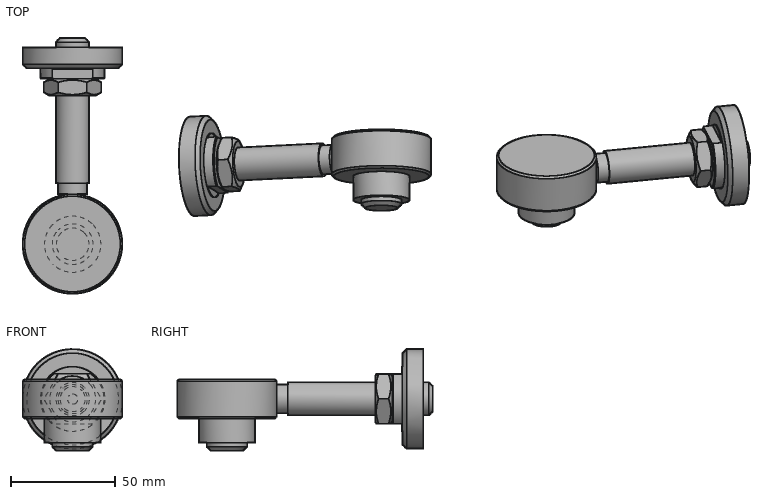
import cadquery as cq
import math

disc_diameter = 48.0
total_length = 123.0

head_height = 19.0
head_chamfer = 1.0
hub_diameter = 27.0
hub_bottom = -21.0
hub_tip_diameter = 19.5
hub_tip_length = 3.9

rod_diameter = 16.0
neck_diameter = 14.0
neck_length = 5.3
core_diameter = 4.9
end_chamfer = 2.0

rod_tip = total_length - disc_diameter / 2
tip_projection = 4.5
disc_thickness = 10.1
collar_diameter = 31.0
collar_length = 5.0
collar_base_length = 0.4
collar_chamfer = 0.5
nut_thickness = 8.1
across_flats = 24.0
nut_face_diameter = 22.0
nut_chamfer_angle = 30.0

neck_start = disc_diameter / 2
neck_end = neck_start + neck_length
disc_back = rod_tip - tip_projection
disc_front = disc_back - disc_thickness
collar_front = disc_front - collar_length
nut_front = collar_front - nut_thickness


def cylinder_along_y(diameter, y_start, y_end):
    """Cylinder on the rod axis between two Y positions."""
    plane = cq.Workplane("XZ", origin=(0, y_end, 0))
    return plane.circle(diameter / 2).extrude(y_end - y_start)


def cylinder_along_z(diameter, z_bottom, z_top):
    """Cylinder on the head axis between two Z positions."""
    return cq.Workplane("XY").workplane(offset=z_bottom).circle(diameter / 2).extrude(z_top - z_bottom)


def make_head():
    head = cylinder_along_z(disc_diameter, -head_height / 2, head_height / 2)
    head = head.faces("<Z or >Z").edges().chamfer(head_chamfer)
    hub = cylinder_along_z(hub_diameter, hub_bottom, 0)
    tip = cylinder_along_z(hub_tip_diameter, hub_bottom - hub_tip_length, hub_bottom)
    tip = tip.faces("<Z").edges().chamfer(end_chamfer)
    return head.union(hub).union(tip)


def make_rod():
    rod = cylinder_along_y(rod_diameter, neck_end, rod_tip)
    rod = rod.faces(">Y").edges().chamfer(end_chamfer)
    neck = cylinder_along_y(neck_diameter, neck_start, neck_end)
    core = cylinder_along_y(core_diameter, 0, neck_end)
    return rod.union(neck).union(core)


def make_foot_disc():
    disc = cylinder_along_y(disc_diameter, disc_front, disc_back)
    return disc.faces("<Y").edges().chamfer(end_chamfer)


def make_collar():
    """Round collar with two wrench flats facing +Z and -Z."""
    collar = cylinder_along_y(collar_diameter, collar_front, disc_front)
    collar = collar.faces("<Y").edges().chamfer(collar_chamfer)
    flats = cq.Workplane("XY").box(collar_diameter, collar_length, across_flats)
    flats = flats.translate((0, (collar_front + disc_front) / 2, 0))
    base = cylinder_along_y(collar_diameter, disc_front - collar_base_length, disc_front)
    return collar.intersect(flats).union(base)


def make_nut():
    """Hexagon nut with flats facing +Z and -Z and conical chamfers on both faces."""
    corner_diameter = across_flats / math.cos(math.radians(30))
    radial_chamfer = (corner_diameter - nut_face_diameter) / 2
    axial_chamfer = radial_chamfer * math.tan(math.radians(nut_chamfer_angle))
    plane = cq.Workplane("XZ", origin=(0, collar_front, 0))
    hexagon = plane.polygon(6, corner_diameter).extrude(nut_thickness)
    envelope = cylinder_along_y(corner_diameter, nut_front, collar_front)
    envelope = envelope.faces("<Y").edges().chamfer(axial_chamfer, radial_chamfer)
    envelope = envelope.faces(">Y").edges().chamfer(axial_chamfer, radial_chamfer)
    return hexagon.intersect(envelope)


result = make_head().union(make_rod()).union(make_foot_disc()).union(make_collar()).union(make_nut())